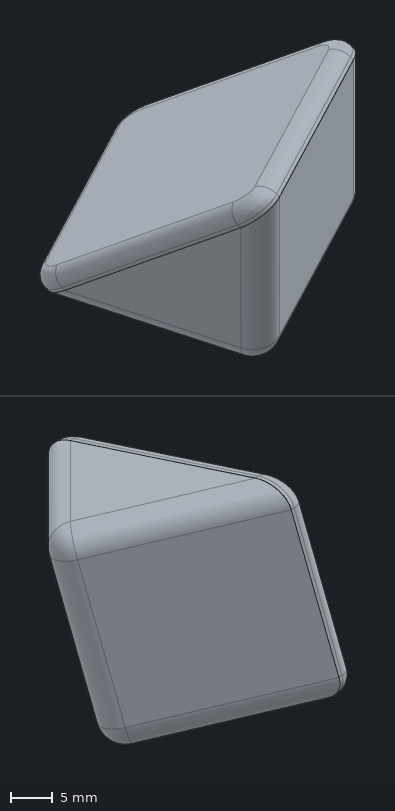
import cadquery as cq
import math

overall_size = 30.95
edge_radius = 3.53
pad_thickness = 2.55
pad_radius = 2.0

rim_overhang = (pad_thickness - 2 * pad_radius) / math.sqrt(2) + pad_radius
leg = overall_size - rim_overhang

slope_faces = "<(1, 0, -1)"


def make_wedge():
    """Right-angled wedge, square corner at +X/-Z, with its five edges off the slope rounded."""
    prism = (
        cq.Workplane("XZ")
        .polyline([(0, 0), (leg, 0), (leg, leg)])
        .close()
        .extrude(leg / 2, both=True)
    )
    corner_edge = prism.edges("|Y").edges(">X and <Z")
    side_edges = prism.edges("|X or |Z")
    return prism.newObject(corner_edge.vals() + side_edges.vals()).fillet(edge_radius)


def make_pad(wedge):
    """Pad that covers the wedge's slope with the same outline and has a rounded outer rim."""
    slope = wedge.faces(slope_faces).val()
    thickness_vector = slope.normalAt() * pad_thickness
    blank = cq.Workplane(cq.Solid.extrudeLinear(slope.outerWire(), [], thickness_vector))
    return blank.faces(slope_faces).edges().fillet(pad_radius)


wedge = make_wedge()
pad = make_pad(wedge)

result = cq.Compound.makeCompound([wedge.val(), pad.val()])